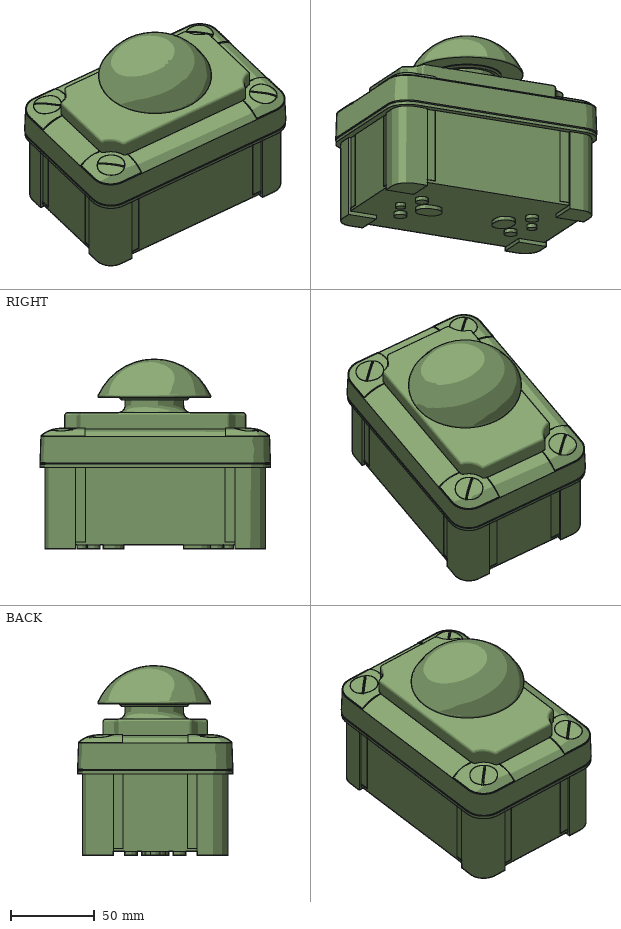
import cadquery as cq
import math

WIDTH = 93.0
LENGTH = 138.0
HEIGHT = 113.6

RIM_INSET = 2.9
RIM_BOTTOM = 48.7
RIM_TOP = 50.6
RIM_CORNER_RADIUS = 13.1
BASE_WIDTH = WIDTH - 2 * RIM_INSET
BASE_LENGTH = LENGTH - 2 * RIM_INSET
COLUMN_SPAN = 18.5
PANEL_BOTTOM = 2.3
PANEL_RECESS = 1.2
STRIP_WIDTH = 6.0
STRIP_BOTTOM = 4.1
STRIP_RECESS = 0.3

FOOT_SLOT_LENGTH = 16.3
FOOT_SLOT_WIDTH = 12.4
FOOT_SLOT_Y = 25.0
SIDE_FOOT_DIAMETER = 7.7
SIDE_FOOT_X = 14.5
SIDE_FOOT_Y = 36.8
END_FOOT_DIAMETER = 6.0
END_FOOT_Y = 43.9

LID_BOTTOM = 51.5
LID_EDGE = 67.2
LID_TOP = 71.8
LID_DRAFT = 0.5
LID_CORNER_RADIUS = 12.7
CROWN_WIDTH = 15.2
PAD_CROWN_WIDTH = LID_CORNER_RADIUS - LID_DRAFT
PAD_RAISE = 0.4
PAD_INNER_X = 19.6
PAD_INNER_Y = 42.1

SCREW_X = 33.1
SCREW_Y = 55.6
SCREW_DIAMETER = 16.4
SCREW_RECESS_DIAMETER = 16.5
SCREW_FLOOR = 68.9
SLOT_WIDTH = 1.0
SLOT_ANGLE = 45

PLATFORM_WIDTH = 62.8
PLATFORM_LENGTH = 108.5
PLATFORM_TOP = 81.5
PLATFORM_NOTCH_RADIUS = 11.2
PLATFORM_CORNER_RADIUS = 2.0
PLATFORM_EDGE_RADIUS = 2.1

POST_DIAMETER = 18.0
POST_MARGIN = 12.1
POST_X = WIDTH / 2 - POST_MARGIN
POST_Y = LENGTH / 2 - POST_MARGIN
PLUG_NOTCH_RADIUS = 12.0
PLUG_CORNER_RADIUS = 3.7
PLUG_WIDTH = 2 * (POST_X + PLUG_CORNER_RADIUS)
PLUG_LENGTH = 2 * (POST_Y + PLUG_CORNER_RADIUS)

BUTTON_X = 0.5
BUTTON_Y = -0.5
COLLAR_DIAMETER = 35.2
COLLAR_RADIUS = COLLAR_DIAMETER / 2
FLARE_RADIUS = 4.1
DISC_RADIUS = 20.7
DISC_BOTTOM = 89.0
DISC_CHAMFER = 1.1
CAP_BOTTOM = 90.7
CAP_EDGE = 92.0
CAP_RADIUS = 33.5
CAP_EDGE_BULGE = 0.3


def block(width, length, bottom, top):
    """Box centred on the vertical axis between two heights."""
    return cq.Workplane("XY").workplane(offset=bottom).rect(width, length).extrude(top - bottom)


def rounded_block(width, length, bottom, top, radius):
    """Centred box with round vertical corners."""
    return block(width, length, bottom, top).edges("|Z").fillet(radius)


def at_corners(x, y):
    """The four points mirrored about both centre planes."""
    return [(sx * x, sy * y) for sx in (-1, 1) for sy in (-1, 1)]


def cylinders(points, diameter, bottom, top):
    """Upright cylinders at the given points between two heights."""
    plane = cq.Workplane("XY").workplane(offset=bottom)
    return plane.pushPoints(points).circle(diameter / 2).extrude(top - bottom)



def cut_sides(body, margin, depth, bottom):
    """Recess the middle of all four side walls, leaving `margin` beside each corner."""
    long_x = BASE_WIDTH - 2 * margin
    long_y = BASE_LENGTH - 2 * margin
    for side in (-1, 1):
        end_cut = block(long_x, 2 * depth, bottom, RIM_BOTTOM).translate((0, side * BASE_LENGTH / 2, 0))
        side_cut = block(2 * depth, long_y, bottom, RIM_BOTTOM).translate((side * BASE_WIDTH / 2, 0, 0))
        body = body.cut(end_cut).cut(side_cut)
    return body


def fill_panels(body):
    """Bring the middle of each side wall back out of the strip recess to the panel face."""
    margin = COLUMN_SPAN + STRIP_WIDTH
    panel_width = BASE_WIDTH - 2 * PANEL_RECESS
    panel_length = BASE_LENGTH - 2 * PANEL_RECESS
    along_y = block(BASE_WIDTH - 2 * margin, panel_length, PANEL_BOTTOM, RIM_BOTTOM)
    along_x = block(panel_width, BASE_LENGTH - 2 * margin, PANEL_BOTTOM, RIM_BOTTOM)
    return body.union(along_y).union(along_x)


def make_feet():
    front_slot = cq.Workplane("XY").center(0, -FOOT_SLOT_Y).slot2D(FOOT_SLOT_LENGTH, FOOT_SLOT_WIDTH, 0)
    rear_slot = cq.Workplane("XY").center(0, FOOT_SLOT_Y).slot2D(FOOT_SLOT_LENGTH, FOOT_SLOT_WIDTH, 90)
    side_feet = cylinders(at_corners(SIDE_FOOT_X, SIDE_FOOT_Y), SIDE_FOOT_DIAMETER, 0, PANEL_BOTTOM)
    end_feet = cylinders([(0, -END_FOOT_Y), (0, END_FOOT_Y)], END_FOOT_DIAMETER, 0, PANEL_BOTTOM)
    slots = front_slot.extrude(PANEL_BOTTOM).union(rear_slot.extrude(PANEL_BOTTOM))
    return slots.union(side_feet).union(end_feet)


def make_base():
    body = rounded_block(BASE_WIDTH, BASE_LENGTH, 0, RIM_BOTTOM, RIM_CORNER_RADIUS - RIM_INSET)
    body = body.cut(block(BASE_WIDTH - 2 * COLUMN_SPAN, BASE_LENGTH, 0, PANEL_BOTTOM))
    body = body.cut(block(BASE_WIDTH, BASE_LENGTH - 2 * COLUMN_SPAN, 0, PANEL_BOTTOM))
    body = cut_sides(body, COLUMN_SPAN, PANEL_RECESS, PANEL_BOTTOM)
    body = cut_sides(body, COLUMN_SPAN, PANEL_RECESS + STRIP_RECESS, STRIP_BOTTOM)
    body = fill_panels(body)
    rim = rounded_block(WIDTH, LENGTH, RIM_BOTTOM, RIM_TOP, RIM_CORNER_RADIUS)
    return body.union(rim).union(make_feet())



def make_skirt():
    """Drafted side wall of the lid."""
    draft_angle = math.degrees(math.atan(LID_DRAFT / (LID_EDGE - LID_BOTTOM)))
    outline = cq.Sketch().rect(WIDTH, LENGTH).vertices().fillet(LID_CORNER_RADIUS)
    plane = cq.Workplane("XY").workplane(offset=LID_BOTTOM)
    return plane.placeSketch(outline).extrude(LID_EDGE - LID_BOTTOM, taper=draft_angle)


def make_crown(fall_width):
    """Top of the lid: flat in the middle, falling in an arc to the edge all the way round."""
    rise = LID_TOP - LID_EDGE
    arc_radius = (fall_width**2 + rise**2) / (2 * rise)
    half_angle = math.asin(fall_width / arc_radius) / 2
    arc_middle = (arc_radius * math.sin(half_angle), LID_TOP - arc_radius * (1 - math.cos(half_angle)))
    flat_x = WIDTH / 2 - LID_DRAFT - fall_width
    flat_y = LENGTH / 2 - LID_DRAFT - fall_width

    def profile(plane):
        section = cq.Workplane(plane).moveTo(0, LID_EDGE).lineTo(0, LID_TOP)
        return section.threePointArc(arc_middle, (fall_width, LID_EDGE)).close()

    crown = block(2 * flat_x, 2 * flat_y, LID_EDGE, LID_TOP)
    edge_along_y = profile("XZ").extrude(flat_y, both=True).translate((flat_x, 0, 0))
    edge_along_x = profile("YZ").extrude(flat_x, both=True).translate((0, flat_y, 0))
    for edge in (edge_along_y, edge_along_x):
        crown = crown.union(edge).union(edge.rotate((0, 0, 0), (0, 0, 1), 180))
    corner = profile("XZ").revolve(360, (0, 0, 0), (0, 1, 0))
    for x, y in at_corners(flat_x, flat_y):
        crown = crown.union(corner.translate((x, y, 0)))
    return crown


def make_pads():
    """Corner areas with a narrower fall, raised a little above the crown."""
    crown = make_crown(PAD_CROWN_WIDTH)
    raised = crown.union(crown.translate((0, 0, PAD_RAISE)))
    middle_x = block(2 * PAD_INNER_X, LENGTH, LID_EDGE, PLATFORM_TOP)
    middle_y = block(WIDTH, 2 * PAD_INNER_Y, LID_EDGE, PLATFORM_TOP)
    return raised.cut(middle_x).cut(middle_y)


def notched_block(width, length, bottom, top, notch_points, notch_radius, corner_radius):
    """Centred box with a round notch in each corner and rounded notch edges."""
    body = block(width, length, bottom, top)
    body = body.cut(cylinders(notch_points, 2 * notch_radius, bottom, top))
    return body.edges("|Z").fillet(corner_radius)


def make_platform():
    screws = at_corners(SCREW_X, SCREW_Y)
    body = notched_block(PLATFORM_WIDTH, PLATFORM_LENGTH, LID_EDGE, PLATFORM_TOP,
                         screws, PLATFORM_NOTCH_RADIUS, PLATFORM_CORNER_RADIUS)
    return body.faces(">Z").edges().fillet(PLATFORM_EDGE_RADIUS)


def cut_screw_heads(lid):
    """Outline each screw head with a thin ring and cut its driver slot."""
    screws = at_corners(SCREW_X, SCREW_Y)
    rings = cylinders(screws, SCREW_RECESS_DIAMETER, SCREW_FLOOR, PLATFORM_TOP)
    rings = rings.cut(cylinders(screws, SCREW_DIAMETER, SCREW_FLOOR, PLATFORM_TOP))
    lid = lid.cut(rings)
    slot = block(SCREW_DIAMETER, SLOT_WIDTH, SCREW_FLOOR, PLATFORM_TOP)
    slot = slot.rotate((0, 0, 0), (0, 0, 1), SLOT_ANGLE)
    for x, y in screws:
        lid = lid.cut(slot.translate((x, y, 0)))
    return lid


def make_lid():
    lid = make_skirt().union(make_crown(CROWN_WIDTH)).union(make_pads())
    lid = cut_screw_heads(lid).union(make_platform())
    posts = at_corners(POST_X, POST_Y)
    plug = notched_block(PLUG_WIDTH, PLUG_LENGTH, RIM_TOP, LID_BOTTOM,
                         posts, PLUG_NOTCH_RADIUS, PLUG_CORNER_RADIUS)
    return lid.union(plug).union(cylinders(posts, POST_DIAMETER, RIM_TOP, LID_BOTTOM))



def revolve_at_button(section):
    return section.close().revolve(360, (0, 0, 0), (0, 1, 0)).translate((BUTTON_X, BUTTON_Y, 0))


def make_collar():
    """Round neck on the platform, flaring out at its foot."""
    section = (
        cq.Workplane("XZ")
        .moveTo(0, PLATFORM_TOP)
        .lineTo(COLLAR_RADIUS + FLARE_RADIUS, PLATFORM_TOP)
        .radiusArc((COLLAR_RADIUS, PLATFORM_TOP + FLARE_RADIUS), FLARE_RADIUS)
        .lineTo(COLLAR_RADIUS, DISC_BOTTOM)
        .lineTo(0, DISC_BOTTOM)
    )
    return revolve_at_button(section)


def make_button():
    """Mushroom head: spherical dome, rounded edge and a thin disc underneath."""
    dome_rise = HEIGHT - CAP_EDGE
    dome_radius = (CAP_RADIUS**2 + dome_rise**2) / (2 * dome_rise)
    half_angle = math.asin(CAP_RADIUS / dome_radius) / 2
    dome_middle = (dome_radius * math.sin(half_angle), HEIGHT - dome_radius * (1 - math.cos(half_angle)))
    edge_middle = (CAP_RADIUS + CAP_EDGE_BULGE, (CAP_EDGE + CAP_BOTTOM) / 2)
    section = (
        cq.Workplane("XZ")
        .moveTo(0, DISC_BOTTOM)
        .lineTo(DISC_RADIUS - DISC_CHAMFER, DISC_BOTTOM)
        .lineTo(DISC_RADIUS, DISC_BOTTOM + DISC_CHAMFER)
        .lineTo(DISC_RADIUS, CAP_BOTTOM)
        .lineTo(CAP_RADIUS, CAP_BOTTOM)
        .threePointArc(edge_middle, (CAP_RADIUS, CAP_EDGE))
        .threePointArc(dome_middle, (0, HEIGHT))
    )
    return revolve_at_button(section)


base = make_base()
lid = make_lid()
collar = make_collar()
button = make_button()

result = cq.Compound.makeCompound([*base.solids().vals(), *lid.solids().vals(), collar.val(), button.val()])